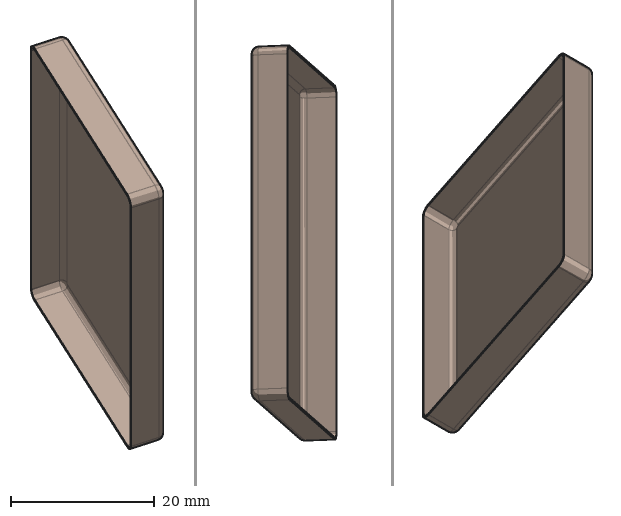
import cadquery as cq

width = 33.9
depth = 5.3
height = 50.1

wall = 0.3
corner_radius = 1.4
back_radius = 1.1

inner_corner_radius = corner_radius - wall
inner_back_radius = back_radius - wall


def rounded_block(x_size, y_size, z_size, corner, back):
    """Block starting at Y = 0 with rounded corners and a rounded +Y rim."""
    block = cq.Workplane("XY").box(x_size, y_size, z_size, centered=(True, False, True))
    return block.edges("|Y").fillet(corner).faces(">Y").edges().fillet(back)


shell = rounded_block(width, depth, height, corner_radius, back_radius)
cavity = rounded_block(
    width - 2 * wall, depth - wall, height - 2 * wall, inner_corner_radius, inner_back_radius
)

result = shell.cut(cavity)